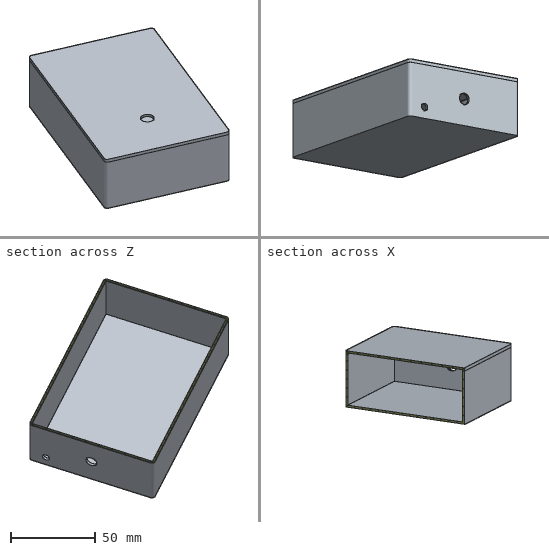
import cadquery as cq

length = 120.0
width = 80.0
height = 35.0
corner_radius = 2.0

lid_thickness = 2.0
wall = 1.5
lid_sheet = 1.5
box_height = height - lid_thickness

lid_hole_diameter = 8.0
lid_hole_x = 28.2

main_port_diameter = 7.0
main_port_z = box_height / 2
small_port_diameter = 4.5
small_port_y = 29.0
small_port_z = 7.0


def rounded_block(block_height):
    """Full-size rectangular block with rounded vertical corners, standing on Z = 0."""
    block = cq.Workplane("XY").box(length, width, block_height, centered=(True, True, False))
    return block.edges("|Z").fillet(corner_radius)


def end_wall_port(diameter, y, z):
    """Cylinder that cuts a round port through the -X end wall."""
    return (
        cq.Workplane("YZ", origin=(-length / 2, y, z))
        .circle(diameter / 2)
        .extrude(wall)
    )


def inner_block(block_height):
    """Rectangular block filling the space between the walls, standing on Z = 0."""
    return cq.Workplane("XY").box(
        length - 2 * wall,
        width - 2 * wall,
        block_height,
        centered=(True, True, False),
    )


def make_box():
    """Open-topped box with two ports in its -X end wall."""
    cavity = inner_block(box_height - wall).translate((0, 0, wall))
    main_port = end_wall_port(main_port_diameter, 0, main_port_z)
    small_port = end_wall_port(small_port_diameter, small_port_y, small_port_z)
    return rounded_block(box_height).cut(cavity).cut(main_port).cut(small_port)


def make_lid():
    """Flat-topped lid on the rim of the box, recessed underneath and pierced by one hole."""
    hole = (
        cq.Workplane("XY")
        .center(lid_hole_x, 0)
        .circle(lid_hole_diameter / 2)
        .extrude(lid_thickness)
    )
    recess = inner_block(lid_thickness - lid_sheet)
    return rounded_block(lid_thickness).cut(recess).cut(hole).translate((0, 0, box_height))


box = make_box()
lid = make_lid()

result = cq.Compound.makeCompound([box.val(), lid.val()])